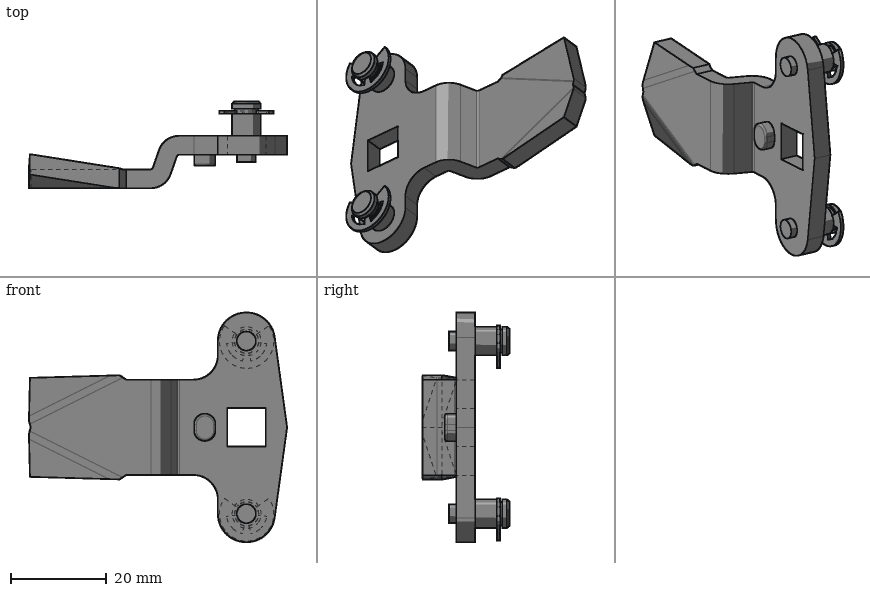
import cadquery as cq
import math


thickness = 4.0
bend_inner = 0.5
bend_outer = bend_inner + thickness

ear_z = 18.0
ear_radius = 6.0
tip_x = 8.5
neck_half_height = 10.0
neck_fillet = 5.0
square_side = 8.0

offset = 7.0
upper_bend_x = -14.0
lower_bend_x = -20.0
blade_front = -offset

blade_left = -45.4
blade_start_x = -25.1
shoulder_x = -26.5
shoulder_z = 10.9
wing_corner_x = -45.2
wing_corner_z = 10.35
notch_half_height = 1.4
notch_depth = 0.4
fold_apex_x = -46.7
fold_slope = 0.5
fold_angle = math.radians(20.5)
fold_reach = 21.6
fold_half_length = 43.15

stud_x = -8.7
stud_width = 4.5
stud_height = 5.7
stud_length = 2.3
stud_edge_radius = 0.45

pin_radius = 3.0
pin_length = 7.2
pin_chamfer_length = 0.55
pin_chamfer_depth = 0.5
groove_radius = 2.5
groove_start = 4.55
groove_end = 5.6
stub_radius = 2.0
stub_length = 1.5

clip_thickness = 0.7
clip_radius = 5.65
clip_band_inner = 4.2
clip_end_angle = 35.0
prong_sweep = 42.0
tongue_sweep = 24.0


def on_circle(center, radius, angle):
    """Point on a circle at an angle in radians."""
    return (center[0] + radius * math.cos(angle), center[1] + radius * math.sin(angle))


def make_half_plate():
    """Upper half of the cross plate, from the tip to the start of the bend."""
    ear = (0, ear_z)
    tip_to_ear = math.hypot(tip_x, ear_z)
    tangent_angle = math.acos(ear_radius / tip_to_ear) - math.atan2(ear_z, tip_x)
    fillet_center = (-ear_radius - neck_fillet, neck_half_height + neck_fillet)
    return (
        cq.Workplane("XZ")
        .moveTo(tip_x, 0)
        .lineTo(*on_circle(ear, ear_radius, tangent_angle))
        .threePointArc((0, ear_z + ear_radius), (-ear_radius, ear_z))
        .lineTo(-ear_radius, fillet_center[1])
        .threePointArc(
            on_circle(fillet_center, neck_fillet, math.radians(-45)),
            (fillet_center[0], neck_half_height),
        )
        .lineTo(upper_bend_x, neck_half_height)
        .lineTo(upper_bend_x, 0)
        .close()
        .extrude(-thickness)
    )


def make_half_strip():
    """Upper half of the strip, bent twice to step from the plate down to the blade."""
    upper = (upper_bend_x, -bend_inner)
    lower = (lower_bend_x, blade_front + bend_outer)
    run = upper[0] - lower[0]
    rise = upper[1] - lower[1]
    lean = math.acos((bend_inner + bend_outer) / math.hypot(run, rise)) - math.atan2(rise, run)
    upper_mid = math.radians(135) - lean / 2
    lower_mid = math.radians(-45) - lean / 2
    return (
        cq.Workplane("XY")
        .moveTo(upper_bend_x, thickness)
        .threePointArc(
            on_circle(upper, bend_outer, upper_mid),
            on_circle(upper, bend_outer, math.pi - lean),
        )
        .lineTo(*on_circle(lower, bend_inner, -lean))
        .threePointArc(
            on_circle(lower, bend_inner, lower_mid),
            (lower_bend_x, blade_front + thickness),
        )
        .lineTo(blade_start_x, blade_front + thickness)
        .lineTo(blade_start_x, blade_front)
        .lineTo(lower_bend_x, blade_front)
        .threePointArc(
            on_circle(lower, bend_outer, lower_mid),
            on_circle(lower, bend_outer, -lean),
        )
        .lineTo(*on_circle(upper, bend_inner, math.pi - lean))
        .threePointArc(on_circle(upper, bend_inner, upper_mid), (upper_bend_x, 0))
        .close()
        .extrude(neck_half_height)
    )


def make_folded_sheet():
    """Oversize sheet folded back along the slanted line where the upper wing begins."""
    slant = math.atan(fold_slope)
    section_plane = cq.Plane(
        origin=(fold_apex_x, blade_front, 0),
        xDir=(-math.sin(slant), 0, math.cos(slant)),
        normal=(-math.cos(slant), 0, -math.sin(slant)),
    )
    center = (0, bend_outer)
    start = math.radians(-90)
    middle = start + fold_angle / 2
    end = start + fold_angle
    front = on_circle(center, bend_outer, end)
    rear = on_circle(center, bend_inner, end)
    reach_x = fold_reach * math.cos(fold_angle)
    reach_y = fold_reach * math.sin(fold_angle)
    return (
        cq.Workplane(section_plane)
        .moveTo(-fold_reach, 0)
        .lineTo(0, 0)
        .threePointArc(on_circle(center, bend_outer, middle), front)
        .lineTo(front[0] + reach_x, front[1] + reach_y)
        .lineTo(rear[0] + reach_x, rear[1] + reach_y)
        .lineTo(*rear)
        .threePointArc(on_circle(center, bend_inner, middle), (0, thickness))
        .lineTo(-fold_reach, thickness)
        .close()
        .extrude(fold_half_length, both=True)
    )


def make_half_blade():
    """Upper half of the blade: the folded sheet trimmed straight through along Y."""
    trim = (
        cq.Workplane("XZ")
        .moveTo(blade_start_x, 0)
        .lineTo(blade_left + notch_depth, 0)
        .lineTo(blade_left, notch_half_height)
        .lineTo(wing_corner_x, wing_corner_z)
        .lineTo(shoulder_x, shoulder_z)
        .lineTo(blade_start_x, neck_half_height)
        .close()
        .extrude(fold_reach, both=True)
    )
    return make_folded_sheet().intersect(trim)


def make_stud():
    """Stop stud with two flats and a rounded end, standing on the front face of the plate."""
    return (
        cq.Workplane("XZ")
        .center(stud_x, 0)
        .slot2D(stud_height, stud_width, 90)
        .extrude(stud_length)
        .faces("<Y")
        .edges()
        .fillet(stud_edge_radius)
    )


def make_pin(z):
    """Grooved pivot pin behind the plate, with its short stub in front."""
    back = thickness + pin_length
    groove_front = thickness + groove_start
    groove_back = thickness + groove_end
    return (
        cq.Workplane("XY")
        .moveTo(0, -stub_length)
        .lineTo(stub_radius, -stub_length)
        .lineTo(stub_radius, thickness / 2)
        .lineTo(pin_radius, thickness / 2)
        .lineTo(pin_radius, groove_front)
        .lineTo(groove_radius, groove_front)
        .lineTo(groove_radius, groove_back)
        .lineTo(pin_radius, groove_back)
        .lineTo(pin_radius, back - pin_chamfer_length)
        .lineTo(pin_radius - pin_chamfer_depth, back)
        .lineTo(0, back)
        .close()
        .revolve(360, (0, 0), (0, 1))
        .translate((0, 0, z))
    )


def make_lever():
    """The whole lever: bent sheet, square hole, stud and both pins as one solid."""
    half = make_half_plate().union(make_half_strip()).union(make_half_blade())
    sheet = half.union(half.mirror("XY"))
    square = cq.Workplane("XZ").rect(square_side, square_side).extrude(-thickness)
    lever = sheet.cut(square).union(make_stud())
    for z in (-ear_z, ear_z):
        lever = lever.union(make_pin(z))
    return lever.clean()


def clip_sector(inner, outer, start, sweep):
    """Flat ring sector around the Y axis, from start over sweep degrees."""
    return (
        cq.Workplane("XY")
        .moveTo(inner, 0)
        .lineTo(outer, 0)
        .lineTo(outer, clip_thickness)
        .lineTo(inner, clip_thickness)
        .close()
        .revolve(sweep, (0, 0), (0, -1))
        .rotate((0, 0, 0), (0, -1, 0), start)
    )


def make_clip(z):
    """E-clip open towards +Z, gripping the groove with two prongs and a middle tongue."""
    left_end = 180 - clip_end_angle
    clip = clip_sector(clip_band_inner, clip_radius, left_end, 180 + 2 * clip_end_angle)
    grips = [
        (left_end, prong_sweep),
        (270 - tongue_sweep / 2, tongue_sweep),
        (clip_end_angle - prong_sweep, prong_sweep),
    ]
    for start, sweep in grips:
        clip = clip.union(clip_sector(groove_radius, clip_band_inner, start, sweep))
    return clip.translate((0, thickness + groove_start, z))


lever = make_lever()
clips = [make_clip(z) for z in (-ear_z, ear_z)]

result = cq.Compound.makeCompound([lever.val(), *[clip.val() for clip in clips]])